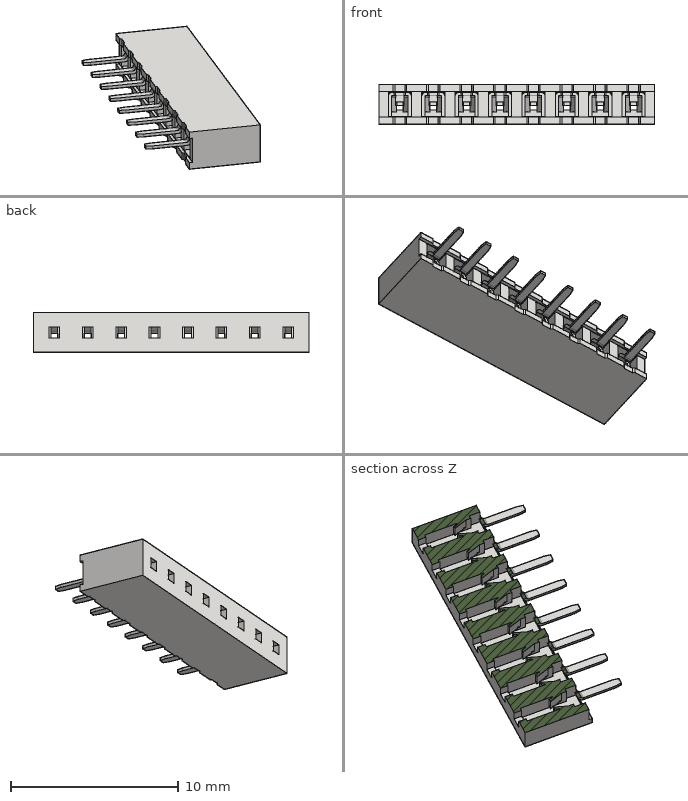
import cadquery as cq
import math


housing_length = 16.5
housing_depth = 4.4
housing_height = 2.4
way_count = 8
pitch = 2.0
groove_height = 1.53
groove_depth = 0.2
notch_depth = 0.1
notch_floor = 0.6
notch_mouth = notch_floor + 2 * notch_depth

cavity_width = 1.39
cavity_height = 1.45
mating_wall = 0.5
mating_hole = 0.65
cavity_end = housing_depth - mating_wall

sheet = 0.2
inner_fold = 0.05
outer_fold = inner_fold + sheet
shell_start = 0.89
shell_top = cavity_height / 2
pin_width = 0.5
pin_tip_width = 0.36
pin_taper = 0.4
pin_reach = 2.4
pin_top = 0.13
flare = 0.1
tongue_angle = math.radians(57)
upper_bend = 0.43
lower_bend = 0.1
arm_height = 0.9
arm_gap = 0.4
arm_length = 0.85
arm_setback = 0.33
arm_start = shell_start + arm_setback
arm_end = arm_start + arm_length

way_positions = [(i - (way_count - 1) / 2) * pitch for i in range(way_count)]


def block(width, y_start, y_end, z_bottom, z_top):
    """Box centred on X, spanning the given Y and Z limits."""
    centring = (True, False, False)
    shape = cq.Workplane("XY").box(width, y_end - y_start, z_top - z_bottom, centered=centring)
    return shape.translate((0, y_start, z_bottom))


def plan_prism(points, z_bottom, z_top):
    """Closed outline in X and Y, extruded between two heights."""
    return cq.Workplane("XY").workplane(offset=z_bottom).polyline(points).close().extrude(z_top - z_bottom)


def bend_point(center, radius, angle):
    """Y and Z of a bend point, angle taken from +Z towards -Y; a negative radius gives the opposite side."""
    return (center[0] - radius * math.sin(angle), center[1] + radius * math.cos(angle))


def way_opening():
    """Everything removed from the housing for one way."""
    half_cavity = cavity_height / 2
    cavity = block(cavity_width, 0, cavity_end, -half_cavity, half_cavity)
    hole = block(mating_hole, cavity_end, housing_depth, -mating_hole / 2, mating_hole / 2)
    notch = plan_prism(
        [
            (-notch_mouth / 2, 0),
            (notch_mouth / 2, 0),
            (notch_floor / 2, notch_depth),
            (-notch_floor / 2, notch_depth),
        ],
        -housing_height / 2,
        housing_height / 2,
    )
    return cavity.union(hole).union(notch)


def contact_shell():
    """Inverted U of sheet metal with rounded folds, lining the cavity."""
    outer = block(cavity_width, shell_start, cavity_end, -shell_top, shell_top)
    outer = outer.edges("|Y and >Z").fillet(outer_fold)
    inner = block(cavity_width - 2 * sheet, shell_start, cavity_end, -shell_top, shell_top - sheet)
    inner = inner.edges("|Y and >Z").fillet(inner_fold)
    return outer.cut(inner)


def contact_arm(side):
    """Spring arm leaning from a side wall towards the mating axis; side is -1 or 1."""
    root = side * (cavity_width / 2 - sheet)
    tip = side * arm_gap / 2
    points = [
        (root, arm_start),
        (tip, arm_end),
        (tip + side * sheet, arm_end),
        (root + side * sheet, arm_start),
    ]
    return plan_prism(points, -arm_height / 2, arm_height / 2)


def contact_tongue():
    """Strip from the shell roof, bent down to pin level, with a flared root."""
    bend_drop = (upper_bend + lower_bend) * (1 - math.cos(tongue_angle))
    slope_run = (shell_top - pin_top - bend_drop) / math.tan(tongue_angle)
    bend_run = (upper_bend + lower_bend) * math.sin(tongue_angle)
    upper_y = shell_start - flare
    lower_y = upper_y - bend_run - slope_run
    upper = (upper_y, shell_top - upper_bend)
    lower = (lower_y, pin_top + lower_bend)
    pin_end = -pin_reach
    half = tongue_angle / 2
    upper_inner = upper_bend - sheet
    lower_outer = lower_bend + sheet
    strip = (
        cq.Workplane("YZ")
        .moveTo(shell_start, shell_top)
        .lineTo(upper_y, shell_top)
        .threePointArc(bend_point(upper, upper_bend, half), bend_point(upper, upper_bend, tongue_angle))
        .lineTo(*bend_point(lower, -lower_bend, tongue_angle))
        .threePointArc(bend_point(lower, -lower_bend, half), (lower_y, pin_top))
        .lineTo(pin_end, pin_top)
        .lineTo(pin_end, pin_top - sheet)
        .lineTo(lower_y, pin_top - sheet)
        .threePointArc(
            bend_point(lower, -lower_outer, half),
            bend_point(lower, -lower_outer, tongue_angle),
        )
        .lineTo(*bend_point(upper, upper_inner, tongue_angle))
        .threePointArc(bend_point(upper, upper_inner, half), (upper_y, shell_top - sheet))
        .lineTo(shell_start, shell_top - sheet)
        .close()
        .extrude(pin_width / 2, both=True)
    )
    half_width = pin_width / 2
    half_tip = pin_tip_width / 2
    plan = plan_prism(
        [
            (-half_width, shell_start),
            (-half_width, pin_end + pin_taper),
            (-half_tip, pin_end),
            (half_tip, pin_end),
            (half_width, pin_end + pin_taper),
            (half_width, shell_start),
        ],
        -shell_top,
        shell_top,
    )
    root = plan_prism(
        [
            (-half_width - flare, shell_start),
            (-half_width, upper_y),
            (half_width, upper_y),
            (half_width + flare, shell_start),
        ],
        shell_top - sheet,
        shell_top,
    )
    return strip.intersect(plan).union(root)


housing = block(housing_length, 0, housing_depth, -housing_height / 2, housing_height / 2)
housing = housing.cut(block(housing_length, 0, groove_depth, -groove_height / 2, groove_height / 2))

opening = way_opening()
contact = contact_shell().union(contact_arm(-1)).union(contact_arm(1)).union(contact_tongue())

result = housing
for x in way_positions:
    result = result.cut(opening.translate((x, 0, 0)))
for x in way_positions:
    result = result.union(contact.translate((x, 0, 0)))